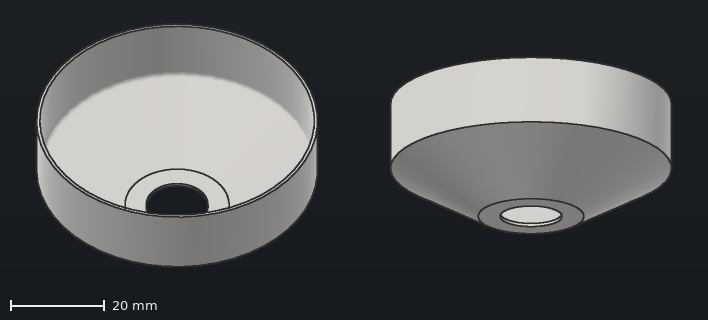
import cadquery as cq
import math

outer_radius = 29.95
total_height = 25.4
cone_angle = math.radians(30)
base_radius = 11.25
wall_thickness = 0.7
floor_thickness = 0.7
floor_radius = 11.1
hole_radius = 6.6
corner_radius = 1.5

inner_radius = outer_radius - wall_thickness
shoulder_height = (outer_radius - base_radius) * math.tan(cone_angle)
inner_shoulder_height = floor_thickness + (inner_radius - floor_radius) * math.tan(cone_angle)


def revolved(profile):
    """Turn a closed radius-height profile around the Z axis."""
    return profile.close().revolve(360, (0, 0, 0), (0, 1, 0))


body = revolved(
    cq.Workplane("XZ")
    .lineTo(base_radius, 0)
    .lineTo(outer_radius, shoulder_height)
    .lineTo(outer_radius, total_height)
    .lineTo(0, total_height)
)

cavity = revolved(
    cq.Workplane("XZ")
    .moveTo(0, floor_thickness)
    .lineTo(floor_radius, floor_thickness)
    .lineTo(inner_radius, inner_shoulder_height)
    .lineTo(inner_radius, total_height)
    .lineTo(0, total_height)
)
shoulder_edge = cq.selectors.BoxSelector(
    (-outer_radius, -outer_radius, inner_shoulder_height - wall_thickness),
    (outer_radius, outer_radius, inner_shoulder_height + wall_thickness),
)
cavity = cavity.edges("%CIRCLE").edges(shoulder_edge).fillet(corner_radius)

hole = cq.Workplane("XY").circle(hole_radius).extrude(total_height)

result = body.cut(cavity).cut(hole)